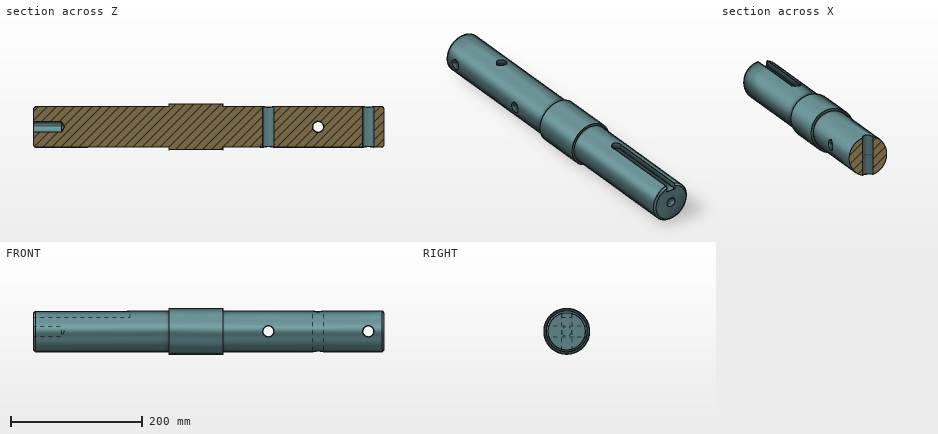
import cadquery as cq
import math

length = 535.0
shaft_diameter = 62.5
collar_diameter = 70.0
collar_start = 206.5
collar_end = 289.0
end_chamfer = 2.95

key_width = 15.0
key_end = 147.0
key_floor_height = 21.5

cross_hole_diameter = 16.5
horizontal_hole_positions = (358.5, 511.0)
vertical_hole_position = 434.5

bore_diameter = 15.0
bore_depth = 43.0
drill_point_angle = 118.0


def stepped_shaft():
    """Solid shaft with a larger collar and chamfered ends."""
    radius = shaft_diameter / 2
    collar_radius = collar_diameter / 2
    half_profile = [
        (0, 0),
        (0, radius - end_chamfer),
        (end_chamfer, radius),
        (collar_start, radius),
        (collar_start, collar_radius),
        (collar_end, collar_radius),
        (collar_end, radius),
        (length - end_chamfer, radius),
        (length, radius - end_chamfer),
        (length, 0),
    ]
    return cq.Workplane("XY").polyline(half_profile).close().revolve(360, (0, 0, 0), (1, 0, 0))


def keyway():
    """Slot open at the left end and rounded at its inner end."""
    radius = key_width / 2
    return (
        cq.Workplane("XY", origin=(0, 0, key_floor_height))
        .moveTo(0, -radius)
        .lineTo(key_end - radius, -radius)
        .threePointArc((key_end, 0), (key_end - radius, radius))
        .lineTo(0, radius)
        .close()
        .extrude(shaft_diameter / 2)
    )


def cross_hole(plane, position):
    """Hole right through the shaft, perpendicular to the given plane."""
    return (
        cq.Workplane(plane)
        .center(position, 0)
        .circle(cross_hole_diameter / 2)
        .extrude(shaft_diameter, both=True)
    )


def end_bore():
    """Blind axial hole in the left end face, with a conical drill point."""
    radius = bore_diameter / 2
    point_length = radius / math.tan(math.radians(drill_point_angle / 2))
    half_profile = [
        (0, 0),
        (0, radius),
        (bore_depth, radius),
        (bore_depth + point_length, 0),
    ]
    return cq.Workplane("XY").polyline(half_profile).close().revolve(360, (0, 0, 0), (1, 0, 0))


result = stepped_shaft().cut(keyway()).cut(end_bore())
for hole_position in horizontal_hole_positions:
    result = result.cut(cross_hole("XZ", hole_position))
result = result.cut(cross_hole("XY", vertical_hole_position))